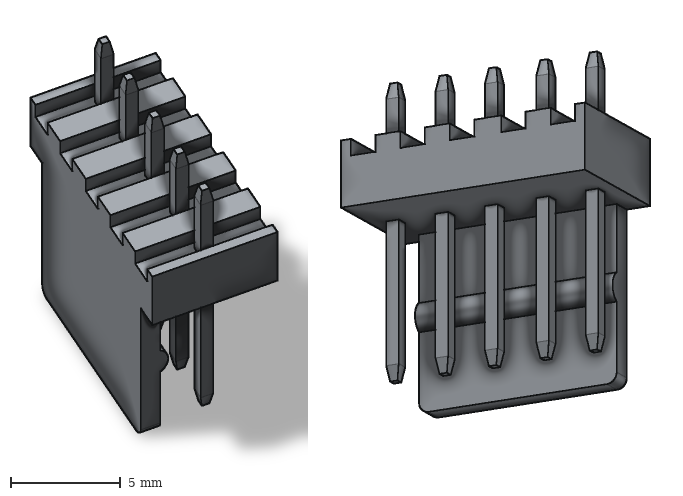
import cadquery as cq

left_pin_count = 2
right_pin_count = 3
pitch = 2.54
group_step = 2.64
pin_width = 0.65
tip_width = 0.38
tip_length = 0.75
pin_above = 3.38
pin_below = 7.6

housing_length = 12.54
housing_depth = 6.35
housing_height = 3.2
slot_width = 1.25
slot_depth = 0.8

wall_width = 10.16
wall_thickness = 1.0
wall_drop = 8.5
wall_corner_radius = 0.5

rib_chord = 1.4
rib_rise = 0.4
rib_center_z = -3.95

front_y = -housing_depth / 2
wall_inner_y = front_y + wall_thickness
pin_row_span = (left_pin_count - 1) * pitch + group_step + (right_pin_count - 1) * pitch
left_pins = [-pin_row_span / 2 + i * pitch for i in range(left_pin_count)]
right_pins = [left_pins[-1] + group_step + i * pitch for i in range(right_pin_count)]
pin_positions = left_pins + right_pins


def make_housing():
    """Rectangular block with a cross slot in its top at every pin."""
    housing = cq.Workplane("XY").box(
        housing_length, housing_depth, housing_height, centered=(True, True, False)
    )
    slots = (
        cq.Workplane("XY", origin=(0, 0, housing_height - slot_depth))
        .pushPoints([(x, 0) for x in pin_positions])
        .rect(slot_width, housing_depth)
        .extrude(slot_depth)
    )
    return housing.cut(slots)


def make_wall():
    """Flat wall below the housing with its two lower corners rounded."""
    wall = cq.Workplane("XY", origin=(0, front_y, -wall_drop)).box(
        wall_width, wall_thickness, wall_drop, centered=(True, False, False)
    )
    return wall.edges("|Y and <Z").fillet(wall_corner_radius)


def make_latch_rib():
    """Circular-segment rib running the full width of the wall."""
    return (
        cq.Workplane("YZ", origin=(-wall_width / 2, 0, 0))
        .moveTo(front_y, rib_center_z - rib_chord / 2)
        .lineTo(wall_inner_y, rib_center_z - rib_chord / 2)
        .threePointArc(
            (wall_inner_y + rib_rise, rib_center_z),
            (wall_inner_y, rib_center_z + rib_chord / 2),
        )
        .lineTo(front_y, rib_center_z + rib_chord / 2)
        .close()
        .extrude(wall_width)
    )


def make_pin(x):
    """Square pin through the housing, tapered at both ends."""
    shank_bottom = -pin_below + tip_length
    shank_top = housing_height + pin_above - tip_length
    pin = (
        cq.Workplane("XY", origin=(x, 0, shank_bottom))
        .rect(pin_width, pin_width)
        .extrude(shank_top - shank_bottom)
    )
    for shank_end, direction in ((shank_top, 1), (shank_bottom, -1)):
        tip = (
            cq.Workplane("XY", origin=(x, 0, shank_end))
            .rect(pin_width, pin_width)
            .workplane(offset=direction * tip_length)
            .rect(tip_width, tip_width)
            .loft(ruled=True)
        )
        pin = pin.union(tip)
    return pin


result = make_housing().union(make_wall()).union(make_latch_rib())
for pin_x in pin_positions:
    result = result.union(make_pin(pin_x))